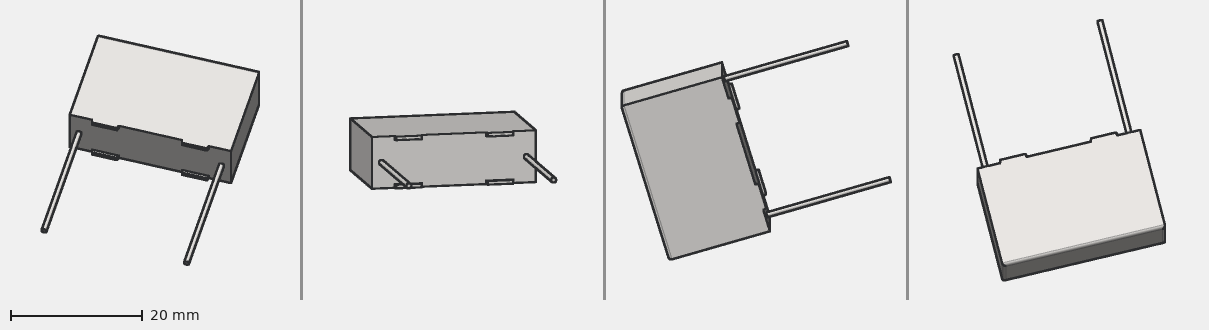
import cadquery as cq


CASE_WIDTH = 25.5
CASE_THICKNESS = 8.02
CASE_DEPTH = 16.0
TOTAL_LENGTH = 35.5
BACK_FILLET = 0.5

FOOT_BASE_WIDTH = 4.25
FOOT_TIP_WIDTH = 3.9
FOOT_HEIGHT = 0.5
FOOT_THICKNESS = 0.57
FOOT_SPACING = 14.2

LEAD_DIAMETER = 0.8
LEAD_SPACING = 22.5
LEAD_LENGTH = TOTAL_LENGTH - CASE_DEPTH


def make_foot(x_center, z_bottom):
    """One standoff foot: a trapezoid in XY, widest where it joins the case."""
    half_base = FOOT_BASE_WIDTH / 2
    half_tip = FOOT_TIP_WIDTH / 2
    return (
        cq.Workplane("XY")
        .polyline([
            (-half_base, 0),
            (half_base, 0),
            (half_tip, -FOOT_HEIGHT),
            (-half_tip, -FOOT_HEIGHT),
        ])
        .close()
        .extrude(FOOT_THICKNESS)
        .translate((x_center, 0, z_bottom))
    )


def make_case():
    """Rectangular case with a rounded back rim and four feet flush with its broad faces."""
    case = (
        cq.Workplane("XY")
        .box(CASE_WIDTH, CASE_DEPTH, CASE_THICKNESS, centered=(True, False, True))
        .faces(">Y")
        .edges()
        .fillet(BACK_FILLET)
    )
    lower_foot_z = -CASE_THICKNESS / 2
    upper_foot_z = CASE_THICKNESS / 2 - FOOT_THICKNESS
    for x_center in (-FOOT_SPACING / 2, FOOT_SPACING / 2):
        for z_bottom in (lower_foot_z, upper_foot_z):
            case = case.union(make_foot(x_center, z_bottom))
    return case


def make_lead(x_center):
    """One straight round lead that starts on the lead face and runs toward -Y."""
    return (
        cq.Workplane("XZ")
        .center(x_center, 0)
        .circle(LEAD_DIAMETER / 2)
        .extrude(LEAD_LENGTH)
    )


case = make_case()
leads = [make_lead(x_center) for x_center in (-LEAD_SPACING / 2, LEAD_SPACING / 2)]

result = cq.Compound.makeCompound([case.val(), *[lead.val() for lead in leads]])